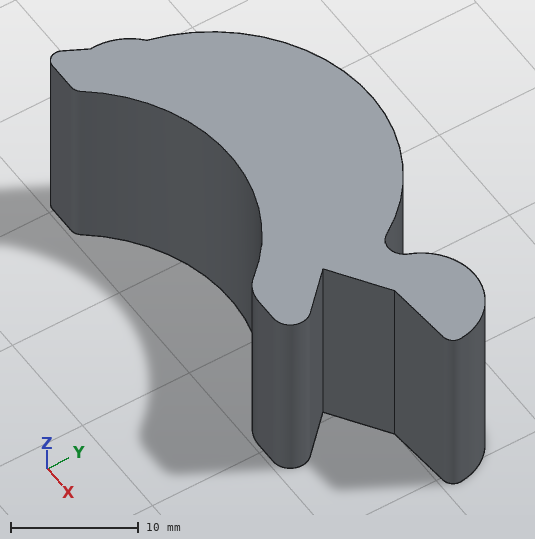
import cadquery as cq
import math

thickness = 17.0
overall_height = 19.16

body_radius = 15.0
shell_center = (17.43, overall_height - body_radius)
belly_height = 6.5
belly_center = (16.55, belly_height - body_radius)

head_radius = 5.0
head_center = (37.376, 10.7)
neck_radius = 1.5
jaw_tip_radius = 1.0
throat = (30.36, 6.08)
chin = (35.35, 9.52)
jaw_angle = 5.0

leg_angle = 45.5
front_toe_radius = 1.6
front_heel_radius = 3.0

rear_toe_radius = 1.0
rear_heel_radius = 1.0
tail_angle = 62.0
tail_root = (1.17, 3.45)
hip_radius = 5.0
hip_top_angle = 166.6


def polar(center, radius, angle):
    """Point on a circle, with the angle in degrees."""
    a = math.radians(angle)
    return (center[0] + radius * math.cos(a), center[1] + radius * math.sin(a))


def toward(start, target, length):
    """Point at a given length from start on the line to target."""
    scale = length / math.dist(start, target)
    return tuple(s + (t - s) * scale for s, t in zip(start, target))


def arc_middle(center, radius, start, end):
    """Midpoint of the minor arc between two points of a circle."""
    chord_middle = ((start[0] + end[0]) / 2, (start[1] + end[1]) / 2)
    return toward(center, chord_middle, radius)


def upper_circle_meeting(center_a, radius_a, center_b, radius_b):
    """Meeting point of two circles on the left of the line from a to b."""
    span = math.dist(center_a, center_b)
    along = (span**2 + radius_a**2 - radius_b**2) / (2 * span)
    across = math.sqrt(radius_a**2 - along**2)
    ux = (center_b[0] - center_a[0]) / span
    uy = (center_b[1] - center_a[1]) / span
    return (center_a[0] + along * ux - across * uy, center_a[1] + along * uy + across * ux)


def line_exit(start, angle, center, radius):
    """Point where a ray starting inside a circle leaves it."""
    ux = math.cos(math.radians(angle))
    uy = math.sin(math.radians(angle))
    dx = start[0] - center[0]
    dy = start[1] - center[1]
    along = dx * ux + dy * uy
    run = -along + math.sqrt(along**2 - dx**2 - dy**2 + radius**2)
    return (start[0] + run * ux, start[1] + run * uy)


rear_toe = (tail_root[0] - tail_root[1] / math.tan(math.radians(tail_angle)), 0)
belly_half_width = math.sqrt(body_radius**2 - belly_center[1] ** 2)
rear_heel = (belly_center[0] - belly_half_width, 0)
front_heel = (belly_center[0] + belly_half_width, 0)
front_toe = (throat[0] + throat[1] / math.tan(math.radians(leg_angle)), 0)

jaw_tip = line_exit(chin, jaw_angle, head_center, head_radius)
neck_center = upper_circle_meeting(
    shell_center, body_radius + neck_radius, head_center, head_radius + neck_radius
)
neck_front = toward(head_center, neck_center, head_radius)
neck_back = toward(shell_center, neck_center, body_radius)
head_top = polar(head_center, head_radius, 90)
neck_bottom = arc_middle(neck_center, neck_radius, neck_front, neck_back)

shell_top = polar(shell_center, body_radius, 90)
hip_top = polar(shell_center, body_radius, hip_top_angle)
half_chord = math.dist(hip_top, tail_root) / 2
hip_bulge = hip_radius - math.sqrt(hip_radius**2 - half_chord**2)
chord_middle = ((hip_top[0] + tail_root[0]) / 2, (hip_top[1] + tail_root[1]) / 2)
chord_angle = math.degrees(math.atan2(hip_top[1] - tail_root[1], hip_top[0] - tail_root[0]))
hip_middle = polar(chord_middle, hip_bulge, chord_angle + 90)

outline = (
    cq.Workplane("XY")
    .moveTo(*rear_toe)
    .lineTo(*rear_heel)
    .threePointArc((belly_center[0], belly_height), front_heel)
    .lineTo(*front_toe)
    .lineTo(*throat)
    .lineTo(*chin)
    .lineTo(*jaw_tip)
    .threePointArc(head_top, neck_front)
    .threePointArc(neck_bottom, neck_back)
    .threePointArc(shell_top, hip_top)
    .threePointArc(hip_middle, tail_root)
    .close()
)


def round_corner(body, corner, radius):
    """Fillet the upright edge standing on a corner of the outline."""
    nearest = cq.selectors.NearestToPointSelector((corner[0], corner[1], thickness / 2))
    return body.edges("|Z").edges(nearest).fillet(radius)


rounded_corners = [
    (rear_toe, rear_toe_radius),
    (rear_heel, rear_heel_radius),
    (front_heel, front_heel_radius),
    (front_toe, front_toe_radius),
    (jaw_tip, jaw_tip_radius),
]

result = outline.extrude(thickness)
for corner, radius in rounded_corners:
    result = round_corner(result, corner, radius)